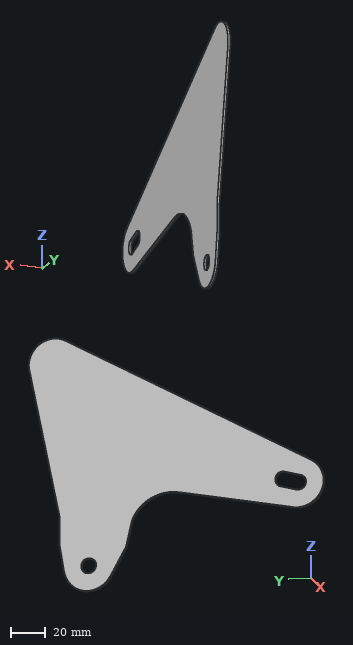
import cadquery as cq
import math

length_y = 176.8
height_z = 152.9
thickness = 1.65

end_radius = 15.0
foot_centre = (0.0, 0.0)
top_y = 20.9
top_centre = (top_y, height_z - 2 * end_radius)
arm_centre = (top_y - (length_y - 2 * end_radius), 39.8)

back_y = 17.5
back_upper = (back_y, 30.5)
back_lower = (back_y, 13.6)
neck_lower = (-22.5, 9.4)
neck_upper = (-26.0, 25.0)

hollow_radius = 25.0
arm_edge_slope = math.radians(12)

opening_diameter = 8.8
slot_travel = 9.9
slot_tilt = 16.0


def polar(centre, radius, angle):
    return (centre[0] + radius * math.cos(angle), centre[1] + radius * math.sin(angle))


def tangent_point(centre, point, side):
    """Touching point on an end circle of the tangent from point; side is +1 or -1."""
    dy = point[0] - centre[0]
    dz = point[1] - centre[1]
    swing = math.acos(end_radius / math.hypot(dy, dz))
    return polar(centre, end_radius, math.atan2(dz, dy) + side * swing)


def hollow_arc():
    """Middle and end of the arc from the neck, tangent to the arm's lower edge."""
    along = (math.cos(arm_edge_slope), math.sin(arm_edge_slope))
    down = arm_edge_slope - math.pi / 2
    base = polar(arm_centre, end_radius + hollow_radius, down)
    dy = neck_upper[0] - base[0]
    dz = neck_upper[1] - base[1]
    run = dy * along[0] + dz * along[1]
    offset = dz * along[0] - dy * along[1]
    travel = run - math.sqrt(hollow_radius**2 - offset**2)
    centre = (base[0] + travel * along[0], base[1] + travel * along[1])
    end_angle = down + math.pi
    start_angle = math.atan2(neck_upper[1] - centre[1], neck_upper[0] - centre[0])
    middle = polar(centre, hollow_radius, (start_angle + end_angle) / 2)
    return middle, polar(centre, hollow_radius, end_angle)


def plate():
    outward = math.atan2(top_centre[1] - arm_centre[1], top_centre[0] - arm_centre[0]) + math.pi / 2
    hollow_middle, hollow_end = hollow_arc()
    return (
        cq.Workplane("YZ")
        .moveTo(*polar(arm_centre, end_radius, outward))
        .lineTo(*polar(top_centre, end_radius, outward))
        .threePointArc(
            polar(top_centre, end_radius, math.pi / 4),
            tangent_point(top_centre, back_upper, 1),
        )
        .lineTo(*back_upper)
        .lineTo(*back_lower)
        .lineTo(*tangent_point(foot_centre, back_lower, -1))
        .threePointArc(
            polar(foot_centre, end_radius, -math.pi / 2),
            tangent_point(foot_centre, neck_lower, 1),
        )
        .lineTo(*neck_lower)
        .lineTo(*neck_upper)
        .threePointArc(hollow_middle, hollow_end)
        .lineTo(*polar(arm_centre, end_radius, arm_edge_slope - math.pi / 2))
        .threePointArc(
            polar(arm_centre, end_radius, math.pi),
            polar(arm_centre, end_radius, outward),
        )
        .close()
        .extrude(thickness)
    )


def openings():
    hole = cq.Workplane("YZ").center(*foot_centre).circle(opening_diameter / 2).extrude(thickness)
    slot_centre = polar(arm_centre, slot_travel / 2, math.radians(slot_tilt))
    slot = (
        cq.Workplane("YZ")
        .center(*slot_centre)
        .slot2D(slot_travel + opening_diameter, opening_diameter, slot_tilt)
        .extrude(thickness)
    )
    return hole.union(slot)


result = plate().cut(openings())